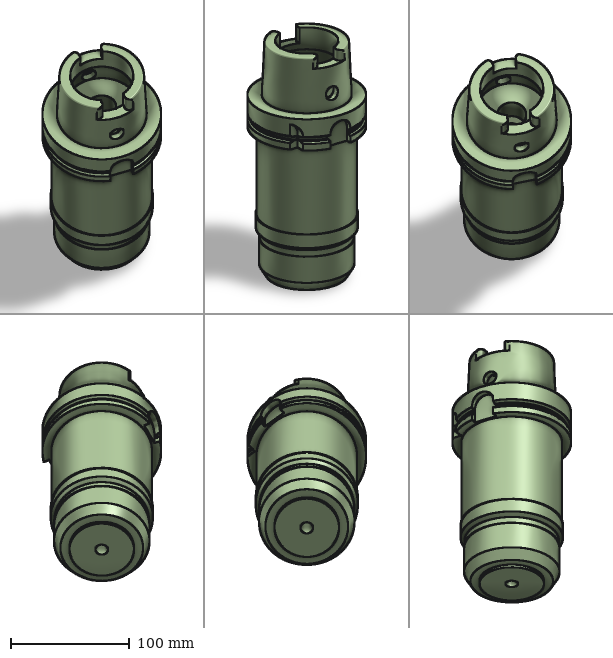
import cadquery as cq
import math

total_length = 217.5
nose_ring_top = 2.6
nose_chamfer_top = 11.7
nose_top = 35.9
neck_top = 41.7
collar_chamfer_top = 45.2
collar_top = 57.6
flange_bottom = 138.5
groove_mouth_bottom = 144.5
groove_root_bottom = 145.9
groove_root_top = 149.4
groove_mouth_top = 151.0
flange_top = 167.5

nose_ring_radius = 27.2
nose_face_radius = 34.8
nose_radius = 40.2
neck_radius = 39.8
collar_radius = 43.0
body_radius = 42.5
flange_radius = 50.0
groove_chamfer_radius = 47.5
groove_root_radius = 45.2
taper_base_radius = 37.8
taper_end_radius = 35.7
taper_end_rounding = 1.7

mouth_radius = 26.5
cavity_radius = 31.0
cavity_top = 197.2
cavity_floor = 176.3
coolant_socket_radius = 12.2
coolant_socket_depth = 21.7
coolant_bore_radius = 5.2

drive_slot_width = 20.0
drive_slot_depths = {-1: 10.0, 1: 14.3}
drive_lug_radius = 35.9
drive_lug_rounding = 4.3

cross_hole_radius = 6.0
cross_hole_height = 182.6

keyway_width = 20.5
keyway_floor = 44.0
notch_top = 162.2
side_notch_floor = 31.0
side_notch_inner_edge = 31.5
side_notch_width = 20.5


def turned_body():
    outline = [
        (0, 0),
        (nose_ring_radius, 0),
        (nose_ring_radius, nose_ring_top),
        (nose_face_radius, nose_ring_top),
        (nose_radius, nose_chamfer_top),
        (nose_radius, nose_top),
        (neck_radius, nose_top),
        (neck_radius, neck_top),
        (collar_radius, collar_chamfer_top),
        (collar_radius, collar_top),
        (body_radius, collar_top),
        (body_radius, flange_bottom),
        (flange_radius, flange_bottom),
        (flange_radius, groove_mouth_bottom),
        (groove_chamfer_radius, groove_root_bottom),
        (groove_root_radius, groove_root_bottom),
        (groove_root_radius, groove_root_top),
        (groove_chamfer_radius, groove_root_top),
        (flange_radius, groove_mouth_top),
        (flange_radius, flange_top),
        (taper_base_radius, flange_top),
        (taper_end_radius, total_length),
        (0, total_length),
    ]
    return cq.Workplane("XZ").polyline(outline).close().revolve(360, (0, 0), (0, 1))


def axial_bores():
    """Mouth, wider clamping cavity, coolant socket and coolant bore as one solid."""
    socket_floor = cavity_floor - coolant_socket_depth
    outline = [
        (0, 0),
        (coolant_bore_radius, 0),
        (coolant_bore_radius, socket_floor),
        (coolant_socket_radius, socket_floor),
        (coolant_socket_radius, cavity_floor),
        (cavity_radius, cavity_floor),
        (cavity_radius, cavity_top),
        (mouth_radius, cavity_top),
        (mouth_radius, total_length),
        (0, total_length),
    ]
    return cq.Workplane("XZ").polyline(outline).close().revolve(360, (0, 0), (0, 1))


def drive_slot(side):
    """Slot cutter on one side of X that also rounds the outer corners of the two drive lugs."""
    depth = drive_slot_depths[side]
    half_width = drive_slot_width / 2
    rounding = drive_lug_rounding
    center_y = half_width + rounding
    center_x = math.sqrt((drive_lug_radius - rounding) ** 2 - center_y**2)
    outward = math.atan2(center_y, center_x)
    tangent_x = drive_lug_radius * math.cos(outward)
    tangent_y = drive_lug_radius * math.sin(outward)
    middle = (outward - math.pi / 2) / 2
    middle_x = center_x + rounding * math.cos(middle)
    middle_y = center_y + rounding * math.sin(middle)
    exit_x = flange_radius * math.cos(outward)
    exit_y = flange_radius * math.sin(outward)
    return (
        cq.Workplane("XY", origin=(0, 0, total_length - depth))
        .moveTo(0, -half_width)
        .lineTo(side * center_x, -half_width)
        .threePointArc((side * middle_x, -middle_y), (side * tangent_x, -tangent_y))
        .lineTo(side * exit_x, -exit_y)
        .lineTo(side * exit_x, exit_y)
        .lineTo(side * tangent_x, tangent_y)
        .threePointArc((side * middle_x, middle_y), (side * center_x, half_width))
        .lineTo(0, half_width)
        .close()
        .extrude(depth)
    )


def rim_notch(side, floor, center_y, width):
    """Arched cutter facing along X whose flat floor lies at the given distance from the axis."""
    arch_center = notch_top - width / 2
    return (
        cq.Workplane("YZ", origin=(side * floor, 0, 0))
        .moveTo(center_y - width / 2, flange_bottom)
        .lineTo(center_y - width / 2, arch_center)
        .threePointArc((center_y, notch_top), (center_y + width / 2, arch_center))
        .lineTo(center_y + width / 2, flange_bottom)
        .close()
        .extrude(side * flange_radius)
    )


result = turned_body().faces(">Z").edges().fillet(taper_end_rounding)

for side in drive_slot_depths:
    result = result.cut(drive_slot(side))

result = result.cut(axial_bores())

cross_hole = (
    cq.Workplane("YZ", origin=(-flange_radius, 0, cross_hole_height))
    .circle(cross_hole_radius)
    .extrude(2 * flange_radius)
)
result = result.cut(cross_hole)

for side in (-1, 1):
    result = result.cut(rim_notch(side, keyway_floor, 0, keyway_width))

side_notch_center = side_notch_inner_edge + side_notch_width / 2
result = result.cut(rim_notch(-1, side_notch_floor, side_notch_center, side_notch_width))